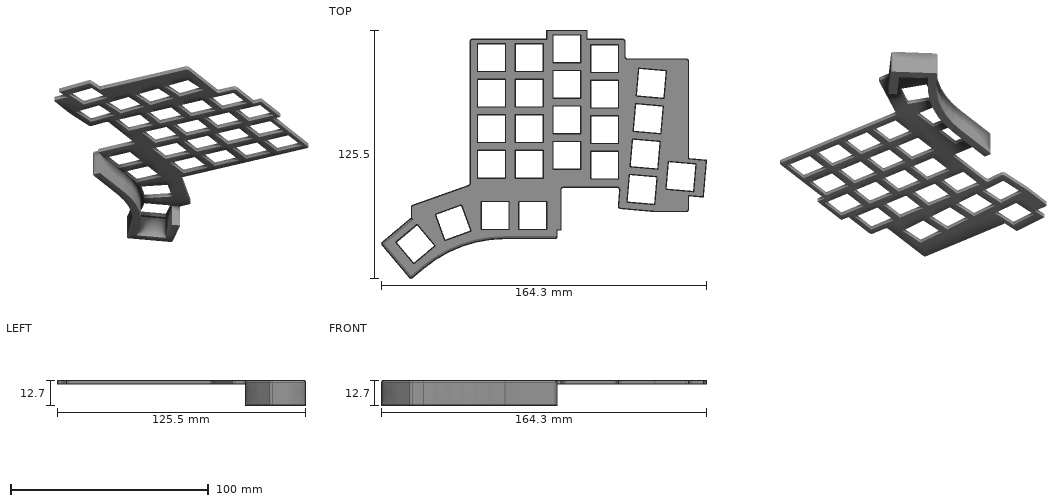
import cadquery as cq
import math

total_height = 12.7
plate_thickness = 2.0
plate_bottom = total_height - plate_thickness

key_hole = 14.0
key_pitch_x = 19.0
column_span = 54.0
keys_per_column = 4
key_pitch_y = column_span / (keys_per_column - 1)
first_column_x = 55.5
column_tops = [111.8, 111.8, 116.2, 111.3]

tilt = -5
tilted_top_key = (136.5, 98.8)
side_key_rise = 8.2

tab_half_height = 9.4
bump_column = 2
bump_half_width = 10.2
side_tab_reach = 12.2

plate_left = 44.7
plate_top = 121.2
upper_step_x = 123.1
right_top = 111.1
right_edge = 155.3
right_bottom = 33.9
bottom_kink_x = 138.3
lower_left_corner = (119.7, 35.5)
inner_top = 46.2
inner_left = 90.7
inner_right = 120.5
shoulder_high = 47.3
shoulder_low = 36.8
shoulder_left = 15.0
corner_radius = 1.3

thumb_turn = 40
thumb_arc_radius = 64.1
thumb_arc_end = (62.5, 20.2)
thumb_straight = 8.5
thumb_end_width = 23.5
wall_end_x = 88.8
wall_thickness = 4.3
edge_radius = 1.0

corner_search_reach = 0.2

inner_thumb_x = 76.5
thumb_row_y = 31.9

thumb_keys = [
    (inner_thumb_x, thumb_row_y, 0),
    (inner_thumb_x - key_pitch_x, thumb_row_y, 0),
    (36.2, 28.3, thumb_turn / 2),
    (17.1, 17.5, thumb_turn),
]


def shifted(start, angle, along, across):
    """Point reached from start by moving along and across a direction at the given angle."""
    a = math.radians(angle)
    return (
        start[0] + along * math.cos(a) - across * math.sin(a),
        start[1] + along * math.sin(a) + across * math.cos(a),
    )


bottom_key = shifted(tilted_top_key, tilt, 0, -column_span)
side_key = shifted(bottom_key, tilt, key_pitch_x, side_key_rise)

arc_center = (thumb_arc_end[0], thumb_arc_end[1] - thumb_arc_radius)
thumb_corner = shifted(arc_center, thumb_turn, -thumb_straight, thumb_arc_radius)
thumb_far_corner = shifted(thumb_corner, thumb_turn, 0, thumb_end_width)
thumb_back_length = (shoulder_left - thumb_far_corner[0]) / math.cos(math.radians(thumb_turn))


def thumb_edge(inset):
    """Outer edge of the thumb cluster moved inwards: back end, two corners, arc (3 points), front end."""
    radius = thumb_arc_radius + inset
    return [
        shifted(thumb_corner, thumb_turn, thumb_back_length, thumb_end_width - inset),
        shifted(thumb_corner, thumb_turn, inset, thumb_end_width - inset),
        shifted(thumb_corner, thumb_turn, inset, inset),
        shifted(arc_center, thumb_turn, 0, radius),
        shifted(arc_center, thumb_turn / 2, 0, radius),
        shifted(arc_center, 0, 0, radius),
        (wall_end_x, thumb_arc_end[1] + inset),
    ]


def follow_thumb_edge(sketch, inset):
    """Draw the inset thumb edge from its back end to its front end."""
    _, far_corner, corner, arc_start, arc_mid, arc_end, front_end = thumb_edge(inset)
    return (
        sketch.lineTo(*far_corner)
        .lineTo(*corner)
        .lineTo(*arc_start)
        .threePointArc(arc_mid, arc_end)
        .lineTo(*front_end)
    )


def round_corners(solid, points, radius):
    """Round the vertical edges that stand at the given XY points."""
    reach = corner_search_reach
    for x, y in points:
        corner = cq.selectors.BoxSelector((x - reach, y - reach, 0), (x + reach, y + reach, total_height))
        solid = solid.edges("|Z").edges(corner).fillet(radius)
    return solid


def plate_plane():
    return cq.Workplane("XY", origin=(0, 0, plate_bottom))


def main_plate():
    upper_left = (plate_left, plate_top)
    shoulder_start = (plate_left, shoulder_high)
    shoulder_end = (shoulder_left, shoulder_low)
    recess_left = (inner_left, inner_top)
    recess_right = (inner_right, inner_top)
    lower_right = (right_edge, right_bottom)
    upper_right = (right_edge, right_top)
    step_bottom = (upper_step_x, right_top)
    step_top = (upper_step_x, plate_top)
    sketch = (
        plate_plane()
        .moveTo(*upper_left)
        .lineTo(*shoulder_start)
        .lineTo(*shoulder_end)
        .lineTo(*thumb_edge(0)[0])
        .lineTo(*thumb_edge(wall_thickness)[0])
    )
    plate = (
        follow_thumb_edge(sketch, wall_thickness)
        .lineTo(inner_left, thumb_edge(wall_thickness)[-1][1])
        .lineTo(*recess_left)
        .lineTo(*recess_right)
        .lineTo(*lower_left_corner)
        .lineTo(bottom_kink_x, right_bottom)
        .lineTo(*lower_right)
        .lineTo(*upper_right)
        .lineTo(*step_bottom)
        .lineTo(*step_top)
        .close()
        .extrude(plate_thickness)
    )
    corners = [
        upper_left, shoulder_start, shoulder_end, recess_left, recess_right,
        lower_left_corner, lower_right, upper_right, step_bottom, step_top,
    ]
    return round_corners(plate, corners, corner_radius)


def key_tabs():
    """Rectangles that widen the plate around the raised column and the side key."""
    bump_top = column_tops[bump_column] + tab_half_height
    bump_bottom = column_tops[bump_column]
    bump = (
        plate_plane()
        .center(first_column_x + bump_column * key_pitch_x, (bump_top + bump_bottom) / 2)
        .rect(2 * bump_half_width, bump_top - bump_bottom)
        .extrude(plate_thickness)
    )
    side_tab = (
        plate_plane()
        .center(*side_key)
        .transformed(rotate=(0, 0, tilt))
        .center(side_tab_reach / 2, 0)
        .rect(side_tab_reach, 2 * tab_half_height)
        .extrude(plate_thickness)
    )
    return bump.union(side_tab)


def thumb_outline(inset):
    """Closed outline of the thumb cluster with its edge moved inwards, cut straight across its inner side."""
    inner_edge = thumb_edge(2 * wall_thickness)
    sketch = follow_thumb_edge(cq.Workplane("XY").moveTo(*thumb_edge(inset)[0]), inset)
    return sketch.lineTo(*inner_edge[-1]).lineTo(*inner_edge[0]).close()


def thumb_block():
    """Thumb cluster with rounded corners and rim, hollow below the plate."""
    _, far_corner, corner, _, _, arc_end, front_end = thumb_edge(0)
    prism = thumb_outline(0).extrude(total_height)
    block = round_corners(prism, [far_corner, corner], edge_radius)
    front_rim_middle = ((arc_end[0] + front_end[0]) / 2, front_end[1], total_height)
    front_rim = cq.selectors.NearestToPointSelector(front_rim_middle)
    block = block.edges(front_rim).fillet(edge_radius)
    block = block.intersect(round_corners(prism, [front_end], edge_radius))
    return block.cut(thumb_outline(wall_thickness).extrude(plate_bottom))


def key_positions():
    """Centre X, centre Y and rotation of every key."""
    keys = list(thumb_keys)
    for row in range(keys_per_column):
        drop = row * key_pitch_y
        for column, top in enumerate(column_tops):
            keys.append((first_column_x + column * key_pitch_x, top - drop, 0))
        keys.append((*shifted(tilted_top_key, tilt, 0, -drop), tilt))
    keys.append((*side_key, tilt))
    return keys


def cut_key_holes(solid):
    for x, y, angle in key_positions():
        hole = (
            plate_plane()
            .center(x, y)
            .transformed(rotate=(0, 0, angle))
            .rect(key_hole, key_hole)
            .extrude(plate_thickness)
        )
        solid = solid.cut(hole)
    return solid


board = main_plate().union(key_tabs()).union(thumb_block())
result = cut_key_holes(board)